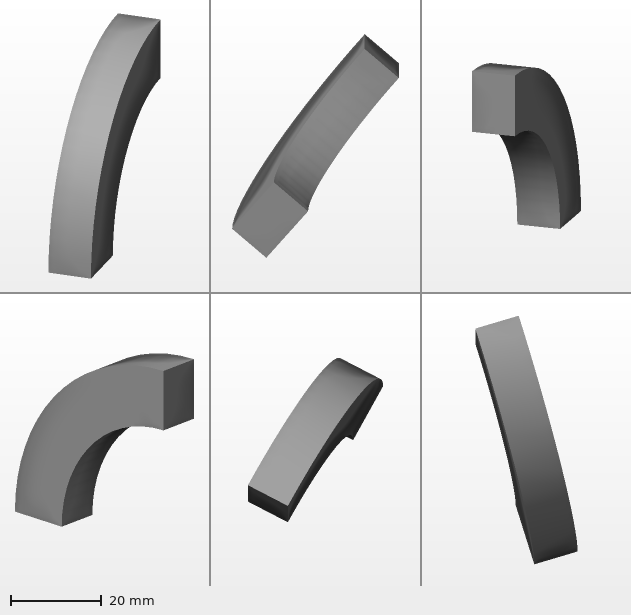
import cadquery as cq
import math

outer_radius = 44.5
inner_radius = 30.5
thickness = 10.0

diagonal = math.cos(math.radians(45))
outer_mid = -outer_radius * diagonal, outer_radius * diagonal
inner_mid = -inner_radius * diagonal, inner_radius * diagonal

result = (
    cq.Workplane("YZ")
    .moveTo(-inner_radius, 0)
    .lineTo(-outer_radius, 0)
    .threePointArc(outer_mid, (0, outer_radius))
    .lineTo(0, inner_radius)
    .threePointArc(inner_mid, (-inner_radius, 0))
    .close()
    .extrude(thickness / 2, both=True)
)